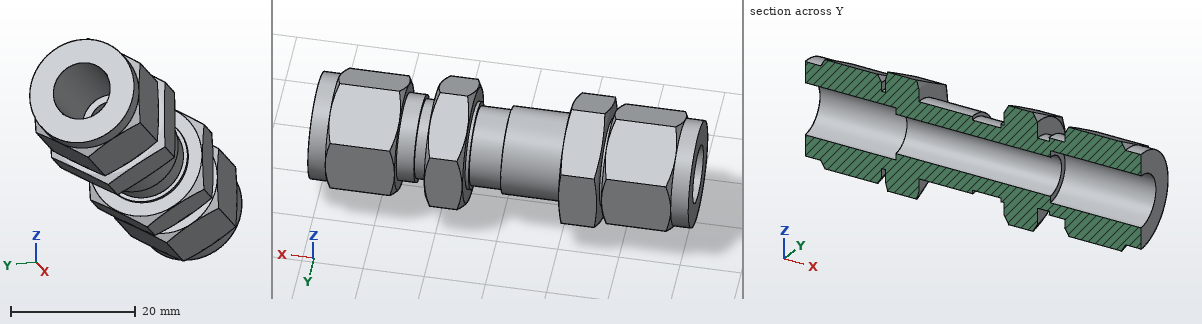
import cadquery as cq
import math

LENGTH = 62.2

NUT_FLATS = 17.5
NUT_COLLAR = 2.85
NUT_HEX = 11.3
NUT_CHAMFER_ANGLE = 30.0

BODY_FLATS = 19.05
BODY_HEX = 6.3
BODY_HEX_START = 14.8
BODY_HEX_CHAMFER_ANGLE = 15.0
PANEL_NUT_START = 36.8
PANEL_NUT_CHAMFER_ANGLE = 30.0
SEAT_FACTOR = 0.99

BODY_DIAMETER = 14.3
THREAD_DIAMETER = 13.0
SHOULDER_END = 31.0
WASHER_LENGTH = 0.55
THREAD_END = 45.2

BORE_DIAMETER = 7.15
SOCKET_DIAMETER = 9.5
SOCKET_DEPTH = 16.8


def cylinder(start, length, diameter):
    """Cylinder along X from the given start."""
    return cq.Workplane("YZ", origin=(start, 0, 0)).circle(diameter / 2).extrude(length)


def chamfered_hex(start, length, flats, angle, face_diameter):
    """Hex prism along X, corners up and down, with conical chamfers on both ends."""
    corner_radius = flats / math.sqrt(3)
    face_radius = face_diameter / 2
    chamfer = (corner_radius - face_radius) * math.tan(math.radians(angle))
    prism = (
        cq.Workplane("YZ", origin=(start, 0, 0))
        .transformed(rotate=(0, 0, 90))
        .polygon(6, 2 * corner_radius)
        .extrude(length)
    )
    envelope = (
        cq.Workplane("XY")
        .moveTo(start, 0)
        .lineTo(start, face_radius)
        .lineTo(start + chamfer, corner_radius)
        .lineTo(start + length - chamfer, corner_radius)
        .lineTo(start + length, face_radius)
        .lineTo(start + length, 0)
        .close()
        .revolve(360, (0, 0, 0), (1, 0, 0))
    )
    return prism.intersect(envelope)


result = cylinder(0, LENGTH, THREAD_DIAMETER)
result = result.union(cylinder(0, SHOULDER_END, BODY_DIAMETER))
result = result.union(cylinder(PANEL_NUT_START - WASHER_LENGTH, WASHER_LENGTH, BODY_DIAMETER))
result = result.union(cylinder(THREAD_END, LENGTH - THREAD_END, BODY_DIAMETER))

for collar_start, hex_start in (
    (0, NUT_COLLAR),
    (LENGTH - NUT_COLLAR, LENGTH - NUT_COLLAR - NUT_HEX),
):
    result = result.union(cylinder(collar_start, NUT_COLLAR, NUT_FLATS))
    result = result.union(
        chamfered_hex(hex_start, NUT_HEX, NUT_FLATS, NUT_CHAMFER_ANGLE, NUT_FLATS)
    )

for hex_start, angle in (
    (BODY_HEX_START, BODY_HEX_CHAMFER_ANGLE),
    (PANEL_NUT_START, PANEL_NUT_CHAMFER_ANGLE),
):
    result = result.union(
        chamfered_hex(hex_start, BODY_HEX, BODY_FLATS, angle, BODY_FLATS * SEAT_FACTOR)
    )

result = result.cut(cylinder(0, LENGTH, BORE_DIAMETER))
for socket_start in (0, LENGTH - SOCKET_DEPTH):
    result = result.cut(cylinder(socket_start, SOCKET_DEPTH, SOCKET_DIAMETER))